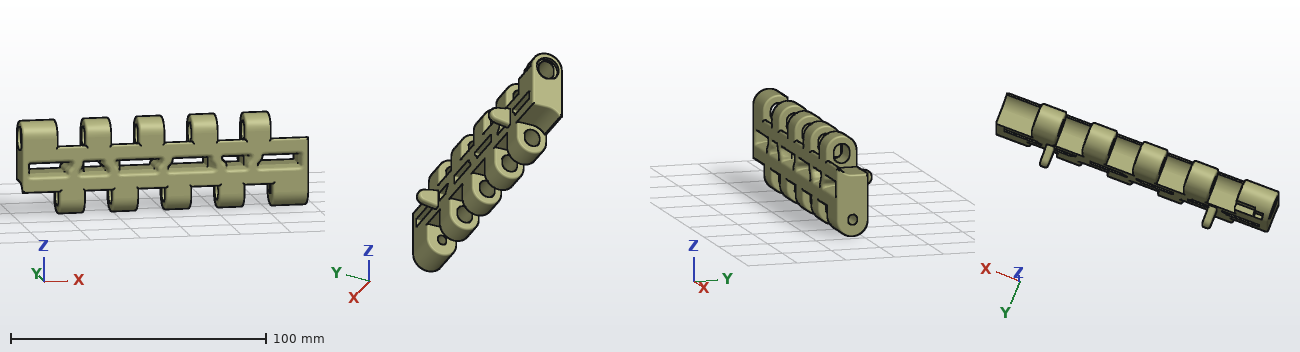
import cadquery as cq
import math

length = 114.2
thickness = 12.8
height = 37.5
end_x = length / 2
front_y = -thickness / 2
back_y = thickness / 2
hinge_z = height / 2 - thickness / 2
edge_radius = 0.8
pick_margin = 0.1

cove_radius = 6.3
lip_flat_z = 8.1
lip_depth = 1.0

knuckle_pitch = 21.2
knuckle_width = 10.2
wide_knuckle_width = 14.2
first_knuckle_x = 37.1
narrow_knuckle_count = 4
narrow_knuckle_xs = [first_knuckle_x - i * knuckle_pitch for i in range(narrow_knuckle_count)]

bore_diameter = 6.5
upper_bore_stretch = 1.3
upper_bore_z = hinge_z - upper_bore_stretch / 2
lower_bore_stretch = 0.9
lower_bore_z = lower_bore_stretch / 2 - hinge_z
counterbore_diameter = 9.4
counterbore_depth = 1.4
end_hole_diameter = 3.7
end_hole_stretch = 0.5

notch_start_x = -51.0
notch_end_x = wide_knuckle_width - end_x
notch_front_y = 3.8
recess_start_x = -54.6
recess_width = 3.3
recess_front_y = 4.8
pocket_floor_z = 12.6

ribs = [(-35.9, 1), (-21.5, -1), (0.0, 1), (21.5, -1), (35.9, 1)]
rib_lean = 0.9
rib_half_width = 0.8
window_end_x = 55.6
mouth_half_height = 4.0
mouth_round = 1.4
mouth_setback = 1.0
throat_half_height = 1.9
throat_y = -2.3
wall_half_height = mouth_half_height - mouth_setback
wall_corner = 1.0
throat_corner = 0.3
throat_inset = 1.9
upright_inset = 3.9
exit_draft = 0.17

fin_x = 34.0
fin_width = 3.3
fin_height = 8.2
fin_root_depth = 2.3
fin_tip_radius = 2.9
fin_taper = math.radians(10.5)
fin_edge_radius = 1.0


def body_bar():
    """Bar along X with a cove and a rounded front lip on its upper and lower sides."""
    lip_y = front_y + lip_depth
    lip_z = hinge_z - math.sqrt(cove_radius**2 - lip_y**2)
    flat_z = hinge_z - cove_radius
    half_angle = math.asin(-lip_y / cove_radius) / 2
    cove_mid_y = -cove_radius * math.sin(half_angle)
    cove_mid_z = hinge_z - cove_radius * math.cos(half_angle)
    lip_mid_y = lip_y - lip_depth * math.sqrt(0.5)
    lip_mid_z = lip_flat_z + (lip_z - lip_flat_z) * math.sqrt(0.5)
    bar = (
        cq.Workplane("YZ", origin=(-end_x, 0, 0))
        .moveTo(front_y, -lip_flat_z)
        .lineTo(front_y, lip_flat_z)
        .threePointArc((lip_mid_y, lip_mid_z), (lip_y, lip_z))
        .threePointArc((cove_mid_y, cove_mid_z), (0, flat_z))
        .lineTo(back_y, flat_z)
        .lineTo(back_y, -flat_z)
        .lineTo(0, -flat_z)
        .threePointArc((cove_mid_y, -cove_mid_z), (lip_y, -lip_z))
        .threePointArc((lip_mid_y, -lip_mid_z), (front_y, -lip_flat_z))
        .close()
        .extrude(length)
    )
    near_z = flat_z - pick_margin
    upper_cove = cq.selectors.BoxSelector((-length, lip_y, near_z), (length, thickness, lip_z))
    lower_cove = cq.selectors.BoxSelector((-length, lip_y, -lip_z), (length, thickness, -near_z))
    end_rims = bar.faces("<X or >X").edges(upper_cove + lower_cove)
    return end_rims.fillet(edge_radius)


def rounded_link(start_x, width):
    """Full-height block with both ends round and the rims of its side faces filleted."""
    return (
        cq.Workplane("YZ", origin=(start_x, 0, 0))
        .slot2D(height, thickness, 90)
        .extrude(width)
        .faces("<X or >X")
        .edges()
        .fillet(edge_radius)
    )


def knuckle(start_x, width, side):
    """Half of a rounded block, reaching up (side 1) or down (side -1) from mid-height."""
    half_box = cq.Workplane(origin=(0, 0, side * height / 2)).box(2 * length, 2 * thickness, height)
    return rounded_link(start_x, width).intersect(half_box)


def stadium_bore(start_x, depth, diameter, stretch, z):
    """Hole along X, stretched a little in Z."""
    return (
        cq.Workplane("YZ", origin=(start_x, 0, z))
        .slot2D(diameter + stretch, diameter, 90)
        .extrude(depth)
    )


def window_outline(y, half_height, corner, left, right):
    """Outline with S-shaped ends; left and right are (upper x, lower x) of each end."""
    bend_z = half_height - corner
    bulge = corner * (1 - math.sqrt(0.5))
    top = half_height - bulge
    (left_up, left_low), (right_up, right_low) = left, right
    return (
        cq.Workplane("XZ", origin=(0, y, 0))
        .moveTo(left_up + corner, half_height)
        .lineTo(right_up - corner, half_height)
        .threePointArc((right_up - bulge, top), (right_up, bend_z))
        .spline([(right_low, -bend_z)], tangents=[(0, -1), (0, -1)], includeCurrent=True)
        .threePointArc((right_low - bulge, -top), (right_low - corner, -half_height))
        .lineTo(left_low + corner, -half_height)
        .threePointArc((left_low + bulge, -top), (left_low, -bend_z))
        .spline([(left_up, bend_z)], tangents=[(0, 1), (0, 1)], includeCurrent=True)
        .threePointArc((left_up + bulge, top), (left_up + corner, half_height))
        .close()
        .val()
    )


def window_side(rib, inward, inset, upright):
    """Upper and lower x of a window side, moved inward (1 is +X, -1 is -X) from its rib by the inset.

    Given an upright inset, the side nearer the part's end is upright. Without a rib, the side
    is the window's end wall.
    """
    if rib is None:
        wall_x = inward * (inset - window_end_x)
        return (wall_x, wall_x)
    centre, lean = rib
    if upright and centre * inward < 0:
        upright_x = centre + inward * upright
        return (upright_x, upright_x)
    side_x = centre + inward * (rib_half_width + inset)
    return (side_x + lean * rib_lean, side_x - lean * rib_lean)


def window(left_rib, right_rib):
    """Cutter for one window: a funnel from mouth to throat, then a drafted passage to the back."""

    def section(y, half_height, corner, inset, upright):
        left = window_side(left_rib, 1, inset, upright)
        right = window_side(right_rib, -1, inset, upright)
        return window_outline(y, half_height, corner, left, right)

    mouth = section(front_y, wall_half_height, wall_corner, mouth_setback, None)
    throat = section(throat_y, throat_half_height, throat_corner, throat_inset, upright_inset)
    exit_half_height = throat_half_height - exit_draft
    exit_inset = throat_inset + exit_draft
    back = section(back_y, exit_half_height, throat_corner, exit_inset, upright_inset + exit_draft)
    funnel = cq.Workplane(obj=cq.Solid.makeLoft([mouth, throat], True))
    passage = cq.Workplane(obj=cq.Solid.makeLoft([throat, back], True))
    return funnel.union(passage)


def fin(x):
    """Tapered, round-tipped fin standing on the back face."""
    root_y = back_y - fin_root_depth
    tip_y = back_y + fin_height
    arc_centre_y = tip_y - fin_tip_radius
    tangent_y = arc_centre_y + fin_tip_radius * math.sin(fin_taper)
    tangent_z = fin_tip_radius * math.cos(fin_taper)
    root_z = tangent_z + (tangent_y - root_y) * math.tan(fin_taper)
    blade = (
        cq.Workplane("YZ", origin=(x - fin_width / 2, 0, 0))
        .moveTo(root_y, -root_z)
        .lineTo(tangent_y, -tangent_z)
        .threePointArc((tip_y, 0), (tangent_y, tangent_z))
        .lineTo(root_y, root_z)
        .close()
        .extrude(fin_width)
    )
    return blade.faces("<X or >X").edges("not |Z").fillet(fin_edge_radius)


def pocket(start_x, stop_x, pocket_front_y):
    """Open pocket at the upper back of the wide knuckle."""
    corner = (start_x, pocket_front_y, pocket_floor_z)
    return cq.Workplane(obj=cq.Solid.makeBox(stop_x - start_x, thickness, height, cq.Vector(*corner)))


def hinge_holes():
    """Bores along both hinge lines, with the counterbore and the small end hole."""
    upper = stadium_bore(-end_x, length, bore_diameter, upper_bore_stretch, upper_bore_z)
    lower_length = length - wide_knuckle_width
    lower = stadium_bore(-end_x, lower_length, bore_diameter, lower_bore_stretch, lower_bore_z)
    end_hole = stadium_bore(0, end_x, end_hole_diameter, end_hole_stretch, lower_bore_z)
    counterbore = (
        cq.Workplane("YZ", origin=(-end_x, 0, upper_bore_z))
        .circle(counterbore_diameter / 2)
        .extrude(counterbore_depth)
    )
    return upper.union(lower).union(end_hole).union(counterbore)


result = body_bar().intersect(rounded_link(-end_x, length))
result = result.union(knuckle(-end_x, wide_knuckle_width, 1))
result = result.union(knuckle(end_x - wide_knuckle_width, wide_knuckle_width, -1))
for x in narrow_knuckle_xs:
    result = result.union(knuckle(x - knuckle_width / 2, knuckle_width, 1))
    result = result.union(knuckle(-x - knuckle_width / 2, knuckle_width, -1))

for left_rib, right_rib in zip([None] + ribs, ribs + [None]):
    result = result.cut(window(left_rib, right_rib))
mouth_box = cq.selectors.BoxSelector(
    (-window_end_x, front_y - pick_margin, -mouth_half_height),
    (window_end_x, front_y + pick_margin, mouth_half_height),
)
result = result.edges(mouth_box).fillet(mouth_round)

result = result.cut(hinge_holes())
result = result.cut(pocket(notch_start_x, notch_end_x, notch_front_y))
result = result.cut(pocket(recess_start_x, recess_start_x + recess_width, recess_front_y))
result = result.union(fin(-fin_x)).union(fin(fin_x))